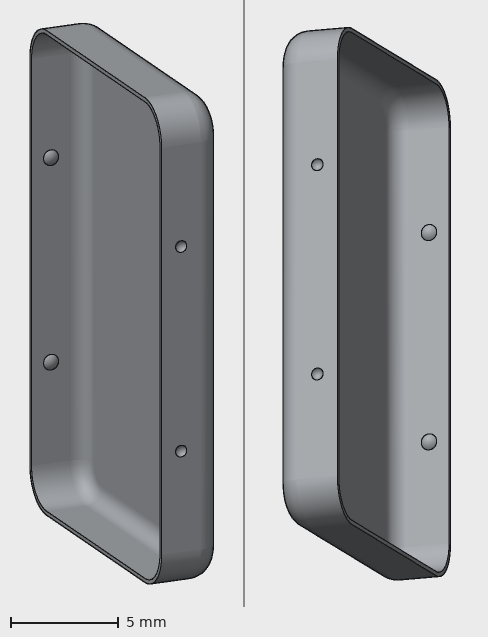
import cadquery as cq

width = 14.9
depth = 3.0
height = 23.7
wall = 0.2
corner_radius = 1.9
floor_radius = 1.0

dimple_radius = 0.3
bump_radius = 0.5
dimple_offset = 0.12
dimple_setback = 1.0
dimple_spacing = 10.0


def rounded_block(inset):
    """Tray-shaped solid shrunk by inset at the sides and floor, flush at the open rim."""
    return (
        cq.Workplane("XZ")
        .rect(width - 2 * inset, height - 2 * inset)
        .extrude(-(depth - inset))
        .edges("|Y")
        .fillet(corner_radius - inset)
        .faces(">Y")
        .edges()
        .fillet(floor_radius - inset)
    )


def ball(x, z, radius):
    """Sphere centred just outside a side wall, with its poles along X."""
    return cq.Workplane("YZ", origin=(x, dimple_setback, z)).sphere(radius)


outer = rounded_block(0)
result = outer.cut(rounded_block(wall))

dimple_x = width / 2 + dimple_offset
for x in (-dimple_x, dimple_x):
    for z in (-dimple_spacing / 2, dimple_spacing / 2):
        bump = ball(x, z, bump_radius).intersect(outer)
        result = result.union(bump).cut(ball(x, z, dimple_radius))